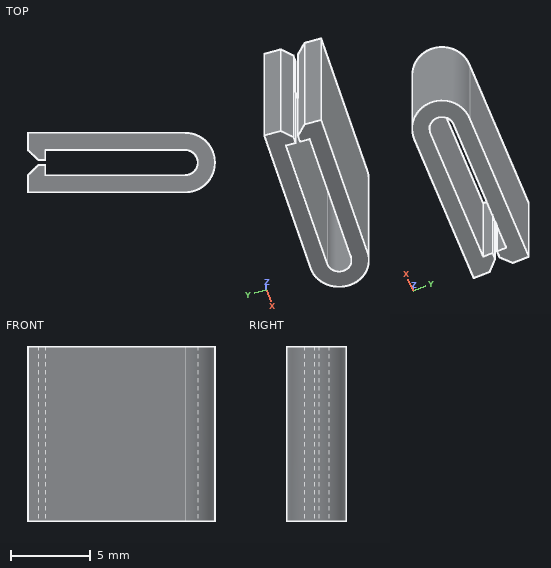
import cadquery as cq

length = 11.8
thickness = 3.76
height = 11.02

wall = 1.1
lip_length = 1.1
mouth_gap = 0.3
lead_in_length = 0.66

outer_radius = thickness / 2
inner_radius = outer_radius - wall
half_gap = mouth_gap / 2
open_end = -length / 2
bend_center = length / 2 - outer_radius
lip_back = open_end + lip_length
lead_in_end = open_end + lead_in_length

profile = (
    cq.Workplane("XY")
    .moveTo(open_end, -outer_radius)
    .lineTo(bend_center, -outer_radius)
    .threePointArc((bend_center + outer_radius, 0), (bend_center, outer_radius))
    .lineTo(open_end, outer_radius)
    .lineTo(open_end, inner_radius)
    .lineTo(lead_in_end, half_gap)
    .lineTo(lip_back, half_gap)
    .lineTo(lip_back, inner_radius)
    .lineTo(bend_center, inner_radius)
    .threePointArc((bend_center + inner_radius, 0), (bend_center, -inner_radius))
    .lineTo(lip_back, -inner_radius)
    .lineTo(lip_back, -half_gap)
    .lineTo(lead_in_end, -half_gap)
    .lineTo(open_end, -inner_radius)
    .close()
)

result = profile.extrude(height)